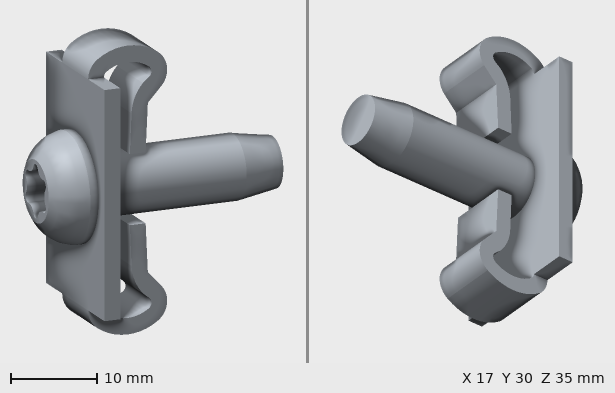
import cadquery as cq
import math

plate_width = 17.0
plate_height = 28.0
plate_thickness = 2.0

screw_length = 30.0
head_radius = 6.75
head_height = 5.0
head_rim_height = 1.0
head_flat_radius = 3.78
head_bulge = 0.63
shank_radius = 4.0
tip_radius = 3.15
tip_length = 5.0

lobe_count = 6
lobe_reach = 3.3
lobe_radius = 0.65
valley_reach = 2.5
socket_depth = 3.0

clip_width = 7.52
clip_depth = 10.0
clip_top = 17.5
clip_bend_radius = 2.8
clip_turn_angle = 40.0
elbow_y = 7.55
elbow_z = 10.25
elbow_arc_start = (6.93, 12.75)
elbow_arc_middle = (5.9, 11.13)
elbow_arc_end = (5.5, 9.25)
leg_end_z = 4.3
leg_end_y = 5.3


def polar(center, radius, degrees):
    angle = math.radians(degrees)
    return (center[0] + radius * math.cos(angle), center[1] + radius * math.sin(angle))


def make_plate():
    return cq.Workplane("XY").box(plate_width, plate_thickness, plate_height).translate(
        (0, plate_thickness / 2, 0)
    )


def make_screw():
    rim_y = -head_rim_height
    top_y = -head_height
    end_y = screw_length - head_height
    run = head_radius - head_flat_radius
    rise = rim_y - top_y
    chord = math.hypot(run, rise)
    dome_middle = (
        (head_radius + head_flat_radius) / 2 + head_bulge * rise / chord,
        (rim_y + top_y) / 2 - head_bulge * run / chord,
    )
    return (
        cq.Workplane("XY")
        .moveTo(0, top_y)
        .lineTo(head_flat_radius, top_y)
        .threePointArc(dome_middle, (head_radius, rim_y))
        .lineTo(head_radius, 0)
        .lineTo(shank_radius, 0)
        .lineTo(shank_radius, end_y - tip_length)
        .lineTo(tip_radius, end_y)
        .lineTo(0, end_y)
        .close()
        .revolve(360, (0, 0), (0, 1))
    )


def make_socket():
    """Tangent lobe and valley arcs alternating around the screw axis."""
    step = 360 / lobe_count
    half_step = step / 2
    lobe_center = lobe_reach - lobe_radius
    cosine = math.cos(math.radians(half_step))
    valley_radius = (
        lobe_center**2 + valley_reach**2 - 2 * lobe_center * valley_reach * cosine - lobe_radius**2
    ) / (2 * (lobe_radius - valley_reach + lobe_center * cosine))
    valley_center = polar((0, 0), valley_reach + valley_radius, half_step)
    share = lobe_radius / (lobe_radius + valley_radius)
    joint_x = lobe_center + share * (valley_center[0] - lobe_center)
    joint_y = share * valley_center[1]
    joint_reach = math.hypot(joint_x, joint_y)
    joint_angle = math.degrees(math.atan2(joint_y, joint_x))

    first_lobe = 90
    outline = cq.Workplane("XZ", origin=(0, -head_height, 0)).moveTo(
        *polar((0, 0), joint_reach, first_lobe - joint_angle)
    )
    for index in range(lobe_count):
        lobe = first_lobe + index * step
        outline = outline.threePointArc(
            polar((0, 0), lobe_reach, lobe), polar((0, 0), joint_reach, lobe + joint_angle)
        ).threePointArc(
            polar((0, 0), valley_reach, lobe + half_step),
            polar((0, 0), joint_reach, lobe + step - joint_angle),
        )
    return outline.close().extrude(-socket_depth)


def make_clip():
    """Upper clip: over the top through three tangent arcs, then down a bent leg."""
    middle_y = clip_depth / 2
    bend_z = plate_height / 2
    front = (clip_bend_radius, bend_z)
    rear = (clip_depth - clip_bend_radius, bend_z)
    offset = middle_y - clip_bend_radius
    rise = clip_top - bend_z
    crown_radius = (offset**2 + rise**2 - clip_bend_radius**2) / (2 * (rise - clip_bend_radius))
    joint_angle = math.degrees(math.atan2(crown_radius - rise, offset))

    inner_radius = clip_bend_radius - plate_thickness
    rear_middle_angle = (joint_angle - clip_turn_angle) / 2
    front_middle_angle = 180 - joint_angle / 2
    leg_back_y = leg_end_y + plate_thickness
    return (
        cq.Workplane("YZ")
        .moveTo(0, bend_z)
        .threePointArc(
            polar(front, clip_bend_radius, front_middle_angle),
            polar(front, clip_bend_radius, 180 - joint_angle),
        )
        .threePointArc((middle_y, clip_top), polar(rear, clip_bend_radius, joint_angle))
        .threePointArc(
            polar(rear, clip_bend_radius, rear_middle_angle),
            polar(rear, clip_bend_radius, -clip_turn_angle),
        )
        .lineTo(elbow_y, elbow_z)
        .lineTo(leg_back_y, leg_end_z)
        .lineTo(leg_end_y, leg_end_z)
        .lineTo(*elbow_arc_end)
        .threePointArc(elbow_arc_middle, elbow_arc_start)
        .lineTo(*polar(rear, inner_radius, -clip_turn_angle))
        .threePointArc(
            polar(rear, inner_radius, rear_middle_angle),
            polar(rear, inner_radius, joint_angle),
        )
        .threePointArc(
            (middle_y, clip_top - plate_thickness),
            polar(front, inner_radius, 180 - joint_angle),
        )
        .threePointArc(
            polar(front, inner_radius, front_middle_angle),
            (plate_thickness, bend_z),
        )
        .close()
        .extrude(clip_width / 2, both=True)
    )


upper_clip = make_clip()
lower_clip = upper_clip.mirror("XY")
result = make_plate().union(make_screw()).union(upper_clip).union(lower_clip).cut(make_socket())